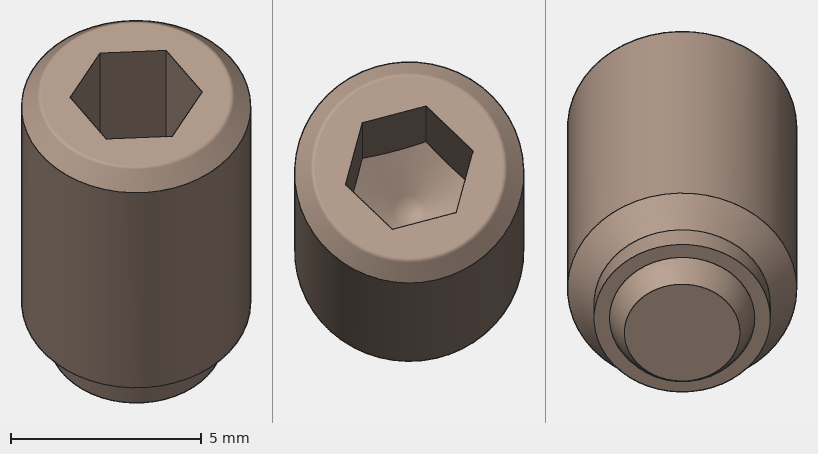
import cadquery as cq
import math

height = 10.3
body_diameter = 6.0
body_radius = body_diameter / 2
tip_radius = 2.31
lower_chamfer = body_radius - tip_radius
collar_bottom = 0.69
collar_height = 0.7
top_chamfer = 0.47
top_edge_round = 0.14

hex_flats = 3.0
hex_corners = hex_flats / math.cos(math.pi / 6)
hex_depth = 3.5
drill_point_angle = 120.0
drill_point_depth = hex_corners / 2 / math.tan(math.radians(drill_point_angle / 2))

ball_radius = 2.0
flat_radius = 1.51
ball_center = math.sqrt(ball_radius**2 - flat_radius**2)


def make_sphere():
    return cq.Workplane("XY").sphere(ball_radius).translate((0, 0, ball_center))


def make_drive_socket():
    """Hexagonal prism whose lower end is trimmed to a cone through its corners."""
    cone_start = height - hex_depth
    apex = cone_start - drill_point_depth
    prism = (
        cq.Workplane("XY")
        .workplane(offset=apex)
        .polygon(6, hex_corners)
        .extrude(height - apex)
    )
    pointed_bore = (
        cq.Workplane("XZ")
        .moveTo(0, apex)
        .lineTo(hex_corners / 2, cone_start)
        .lineTo(hex_corners / 2, height)
        .lineTo(0, height)
        .close()
        .revolve(360, (0, 0, 0), (0, 1, 0))
    )
    return prism.intersect(pointed_bore)


def make_screw():
    collar_top = collar_bottom + collar_height
    blank = (
        cq.Workplane("XZ")
        .moveTo(0, collar_bottom)
        .lineTo(tip_radius, collar_bottom)
        .lineTo(tip_radius, collar_top)
        .lineTo(body_radius, collar_top + lower_chamfer)
        .lineTo(body_radius, height - top_chamfer)
        .lineTo(body_radius - top_chamfer, height)
        .lineTo(0, height)
        .close()
        .revolve(360, (0, 0, 0), (0, 1, 0))
        .faces(">Z")
        .edges()
        .fillet(top_edge_round)
    )
    return blank.cut(make_drive_socket()).cut(make_sphere())


def make_ball():
    side = 2 * ball_radius
    space_above_flat = cq.Workplane("XY").box(side, side, side, centered=(True, True, False))
    return make_sphere().intersect(space_above_flat)


screw = make_screw()
ball = make_ball()

result = cq.Compound.makeCompound([screw.solids().val(), ball.solids().val()])